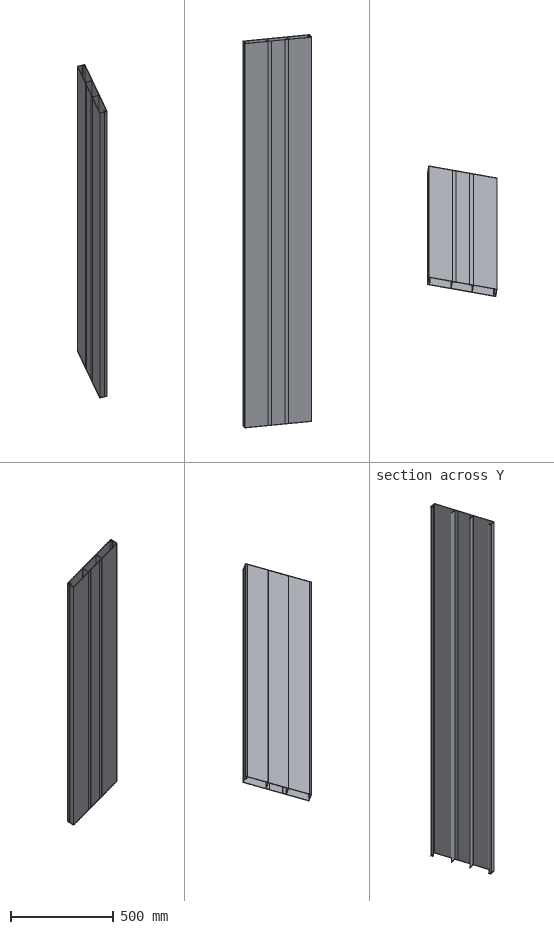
import cadquery as cq

WIDTH = 340.0
DEPTH = 38.0
HEIGHT = 2000.0
SHEET = 1.0

FOLD_WIDTH = 10.0
FOLD_DEPTH = 15.0

STIFFENER_WIDTH = 105.0
LIP = 19.0


def upright(x_low, x_high, y_low, y_high):
    """Full-height block between two X and two Y limits."""
    block = cq.Workplane("XY").box(x_high - x_low, y_high - y_low, HEIGHT, centered=False)
    return block.translate((x_low, y_low, 0))


def make_case():
    """Closed sheet case, open at both ends, with a fold inside each back corner."""
    half = WIDTH / 2
    inside = upright(-half + SHEET, half - SHEET, SHEET, DEPTH - SHEET)
    case = upright(-half, half, 0, DEPTH).cut(inside)
    fold_front = DEPTH - FOLD_DEPTH
    for x_low in (-half, half - FOLD_WIDTH):
        x_high = x_low + FOLD_WIDTH
        fold = upright(x_low, x_high, fold_front, DEPTH)
        hollow = upright(x_low + SHEET, x_high - SHEET, fold_front + SHEET, DEPTH - SHEET)
        case = case.union(fold.cut(hollow))
    return case


def make_stiffener():
    """Channel resting on the back sheet, with two lips resting on the front sheet."""
    half = STIFFENER_WIDTH / 2
    lip_end = half - LIP
    channel = upright(-half, half, SHEET, DEPTH - SHEET)
    hollow = upright(-half + SHEET, half - SHEET, 2 * SHEET, DEPTH - 2 * SHEET)
    mouth = upright(-lip_end, lip_end, SHEET, 2 * SHEET)
    return channel.cut(hollow).cut(mouth)


case = make_case()
stiffener = make_stiffener()
result = cq.Compound.makeCompound([case.val(), stiffener.val()])